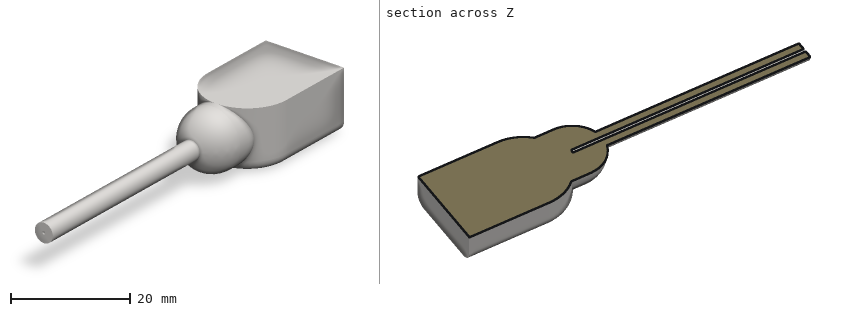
import cadquery as cq
import math

total_length = 71.0
body_width = 16.75
height = 12.1

straight_length = 15.7
bottom_fillet = 2.0

relief_radius = height / 2
dome_start = 25.3

cable_diameter = 3.8
bore_diameter = 0.6
bore_depth = total_length - dome_start

nose_radius = body_width / 2
bottom_z = -height / 2


def make_housing():
    block = (
        cq.Workplane("XY", origin=(0, 0, bottom_z))
        .moveTo(-nose_radius, 0)
        .lineTo(-nose_radius, -straight_length)
        .threePointArc((0, -straight_length - nose_radius), (nose_radius, -straight_length))
        .lineTo(nose_radius, 0)
        .close()
        .extrude(height)
    )
    return block.faces("<Z").edges("not >Y").fillet(bottom_fillet)


def make_relief():
    arc_offset = relief_radius * math.sqrt(0.5)
    return (
        cq.Workplane("XY")
        .moveTo(0, -straight_length)
        .lineTo(relief_radius, -straight_length)
        .lineTo(relief_radius, -dome_start)
        .threePointArc((arc_offset, -dome_start - arc_offset), (0, -dome_start - relief_radius))
        .close()
        .revolve(360, (0, 0, 0), (0, 1, 0))
    )


def make_cable():
    return (
        cq.Workplane("XZ", origin=(0, -dome_start, 0))
        .circle(cable_diameter / 2)
        .extrude(total_length - dome_start)
    )


def make_bore():
    return (
        cq.Workplane("XZ", origin=(0, bore_depth - total_length, 0))
        .circle(bore_diameter / 2)
        .extrude(bore_depth)
    )


result = make_housing().union(make_relief()).union(make_cable()).cut(make_bore())